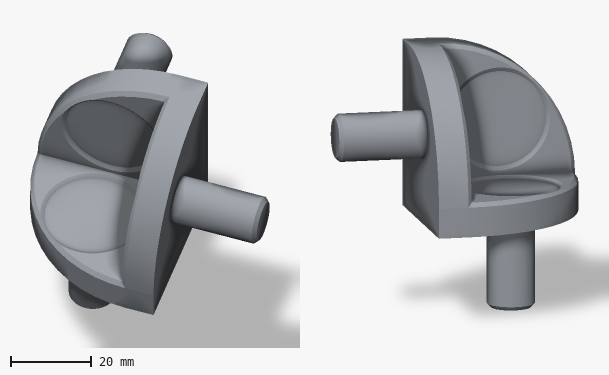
import cadquery as cq

overall = 64.0
plate_side = 42.0
rim_thickness = 7.5
chamfer = 1.0
pin_diameter = 12.0
pin_offset = 22.45
recess_diameter = 26.0
recess_floor_diameter = 23.95
recess_depth = 0.7

plate_thickness = rim_thickness + chamfer
rim_radius = plate_side - rim_thickness
pin_length = overall - plate_side

CORNER = (0, 0, 0)
CORNER_DIAGONAL = (-1, -1, 1)


def make_plate():
    """Horizontal plate: a quarter disc extended by straight sides to the outer corner."""
    diagonal_point = -rim_thickness - rim_radius * 0.5 ** 0.5
    plate = (
        cq.Workplane("XY")
        .lineTo(-plate_side, 0)
        .lineTo(-plate_side, -rim_thickness)
        .threePointArc((diagonal_point, diagonal_point), (-rim_thickness, -plate_side))
        .lineTo(0, -plate_side)
        .close()
        .extrude(plate_thickness)
    )
    curved_rim = plate.faces(">Z").edges("%CIRCLE or <X or <Y")
    return curved_rim.chamfer(chamfer)


def make_pin():
    """Pin below the horizontal plate, with a chamfered free end."""
    return (
        cq.Workplane("XY")
        .center(-pin_offset, -pin_offset)
        .circle(pin_diameter / 2)
        .extrude(-pin_length)
        .faces("<Z")
        .chamfer(chamfer)
    )


def make_recess():
    """Shallow conical cutter that narrows down from the inner face of the plate."""
    return (
        cq.Workplane("XY")
        .workplane(offset=plate_thickness)
        .center(-pin_offset, -pin_offset)
        .circle(recess_diameter / 2)
        .workplane(offset=-recess_depth)
        .circle(recess_floor_diameter / 2)
        .loft()
    )


def repeat_on_three_faces(shape):
    """Copy a shape around the corner diagonal onto all three plates."""
    copies = shape
    for angle in (120, 240):
        copies = copies.union(shape.rotate(CORNER, CORNER_DIAGONAL, angle))
    return copies


plates_and_pins = repeat_on_three_faces(make_plate().union(make_pin()))
result = plates_and_pins.cut(repeat_on_three_faces(make_recess()))